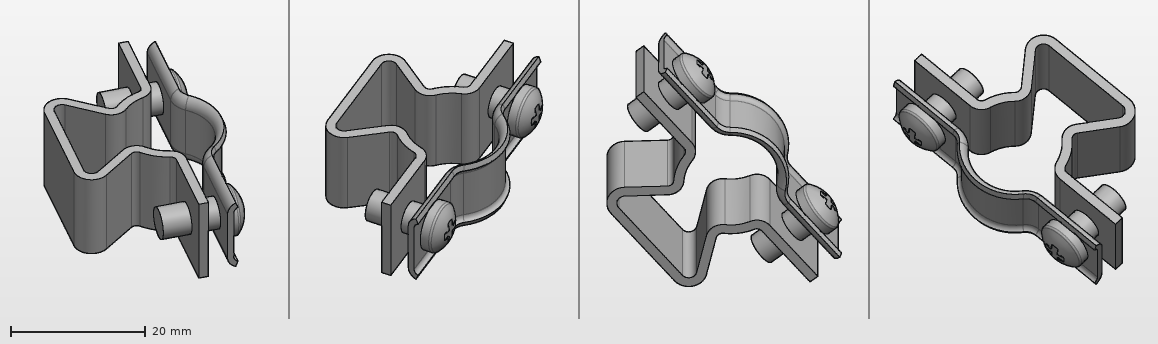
import cadquery as cq
import math


arm_reach = 20.45
pipe_radius = 7.0
pipe_y = 17.0
screw_x = 14.5
shaft_diameter = 5.0

bracket_thickness = 1.5
bracket_width = 14.0
bend_inner = 1.0
bend_outer = bend_inner + bracket_thickness
foot_bend_inner = 1.25
foot_bend_outer = foot_bend_inner + bracket_thickness
foot_bend_x = 7.45
waist_half_gap = 4.0

strap_thickness = 1.0
strap_width = 12.0
strap_front_y = 19.95
strap_right_reach = 20.55
strap_bend_x = 8.45
strap_apex_y = pipe_y + pipe_radius
flange_bend_outer = 2.0
flange_bend_inner = flange_bend_outer - strap_thickness
flange_angle = 69

shaft_end_y = 11.03
head_diameter = 7.95
head_rim_height = 1.6
head_height = 3.3
head_edge_fillet = 0.5
recess_width = 1.27
recess_depth = 0.33


def polar(center, radius, degrees):
    """Point at an angle, counter-clockwise from +X, on a circle."""
    a = math.radians(degrees)
    return (center[0] + radius * math.cos(a), center[1] + radius * math.sin(a))


def bearing(start, end):
    """Direction from one point to another, in degrees."""
    return math.degrees(math.atan2(end[1] - start[1], end[0] - start[0]))


def add_arc(outline, center, radius, start, end):
    """Continue the outline along an arc from one angle to another."""
    return outline.threePointArc(polar(center, radius, (start + end) / 2), polar(center, radius, end))


def make_bracket():
    pipe = (0, pipe_y)
    bend_to_pipe = pipe_radius + bend_outer

    shoulder_drop = bend_outer
    shoulder = (math.sqrt(bend_to_pipe**2 - shoulder_drop**2), pipe_y - shoulder_drop)
    waist_x = waist_half_gap + bend_outer
    waist = (waist_x, pipe_y - math.sqrt(bend_to_pipe**2 - waist_x**2))
    foot = (foot_bend_x, foot_bend_outer)

    to_shoulder = bearing(pipe, shoulder)
    to_waist = bearing(pipe, waist)
    leg_tilt = math.degrees(math.acos((bend_outer + foot_bend_inner) / math.dist(waist, foot)))
    waist_end = bearing(waist, foot) - leg_tilt + 360
    foot_start = waist_end - 180

    outline = cq.Workplane("XY").moveTo(0, 0).lineTo(foot_bend_x, 0)
    outline = add_arc(outline, foot, foot_bend_outer, -90, foot_start)
    outline = outline.lineTo(*polar(waist, bend_inner, waist_end))
    outline = add_arc(outline, waist, bend_inner, waist_end, to_waist + 180)
    outline = add_arc(outline, pipe, pipe_radius + bracket_thickness, to_waist, to_shoulder)
    outline = add_arc(outline, shoulder, bend_inner, to_shoulder + 180, 90)
    outline = outline.lineTo(arm_reach, pipe_y - bracket_thickness)
    outline = outline.lineTo(arm_reach, pipe_y).lineTo(shoulder[0], pipe_y)
    outline = add_arc(outline, shoulder, bend_outer, 90, to_shoulder + 180)
    outline = add_arc(outline, pipe, pipe_radius, to_shoulder, to_waist)
    outline = add_arc(outline, waist, bend_outer, to_waist + 180, waist_end)
    outline = outline.lineTo(*polar(foot, foot_bend_inner, foot_start))
    outline = add_arc(outline, foot, foot_bend_inner, foot_start, -90)
    outline = outline.lineTo(0, bracket_thickness).close()

    half = outline.extrude(bracket_width / 2, both=True)
    return half.union(half.mirror("YZ")) - make_shaft_tools()


def make_strap():
    arch = (0, pipe_y)
    rise = strap_front_y - pipe_y
    bend_radius = (strap_bend_x**2 + rise**2 - pipe_radius**2) / (2 * (pipe_radius - rise))
    left_bend = (-strap_bend_x, strap_front_y + bend_radius)
    right_bend = (strap_bend_x, strap_front_y + bend_radius)
    arch_end = bearing(arch, right_bend)
    path = cq.Workplane("XY").moveTo(-arm_reach, strap_front_y).lineTo(-strap_bend_x, strap_front_y)
    path = add_arc(path, left_bend, bend_radius, -90, -arch_end)
    path = path.threePointArc((0, strap_apex_y), polar(arch, pipe_radius, arch_end))
    path = add_arc(path, right_bend, bend_radius, arch_end - 180, -90)
    path = path.lineTo(strap_right_reach, strap_front_y)

    tip_rise = flange_bend_outer * math.sin(math.radians(flange_angle))
    bend_z = strap_width / 2 - tip_rise
    bend_y = strap_front_y + flange_bend_outer
    upper = (bend_y, bend_z)
    lower = (bend_y, -bend_z)
    web_back_y = strap_front_y + strap_thickness
    section = cq.Workplane("YZ", origin=(-arm_reach, 0, 0)).moveTo(strap_front_y, -bend_z)
    section = section.lineTo(strap_front_y, bend_z)
    section = add_arc(section, upper, flange_bend_outer, 180, 180 - flange_angle)
    section = section.lineTo(*polar(upper, flange_bend_inner, 180 - flange_angle))
    section = add_arc(section, upper, flange_bend_inner, 180 - flange_angle, 180)
    section = section.lineTo(web_back_y, -bend_z)
    section = add_arc(section, lower, flange_bend_inner, 180, 180 + flange_angle)
    section = section.lineTo(*polar(lower, flange_bend_outer, 180 + flange_angle))
    section = add_arc(section, lower, flange_bend_outer, 180 + flange_angle, 180).close()

    return section.sweep(path) - make_shaft_tools()


def make_shaft(x):
    """Screw shaft, from its free end to the seat of the head."""
    length = strap_front_y + strap_thickness - shaft_end_y
    circle = cq.Workplane("XZ", origin=(x, shaft_end_y, 0)).circle(shaft_diameter / 2)
    return circle.extrude(-length)


def make_shaft_tools():
    """Both shafts as one cutter, for the matching holes in the bands."""
    return make_shaft(-screw_x) + make_shaft(screw_x)


def make_screw(x):
    seat_y = strap_front_y + strap_thickness
    top_y = seat_y + head_height
    rim_y = seat_y + head_rim_height
    head_radius = head_diameter / 2
    dome_height = head_height - head_rim_height
    dome_radius = (head_radius**2 + dome_height**2) / (2 * dome_height)
    dome_center = (0, top_y - dome_radius)
    mid_angle = (90 + bearing(dome_center, (head_radius, rim_y))) / 2

    profile = cq.Workplane("XY", origin=(x, 0, 0)).moveTo(0, seat_y).lineTo(head_radius, seat_y)
    profile = profile.lineTo(head_radius, rim_y)
    profile = profile.threePointArc(polar(dome_center, dome_radius, mid_angle), (0, top_y)).close()
    head = profile.revolve(360, (0, 0, 0), (0, 1, 0))
    rim = cq.selectors.BoxSelector(
        (x - head_diameter, rim_y - head_edge_fillet / 2, -head_diameter),
        (x + head_diameter, rim_y + head_edge_fillet / 2, head_diameter),
        boundingbox=True,
    )
    head = head.edges(rim).fillet(head_edge_fillet)

    crown = cq.Workplane("XZ", origin=(x, top_y, 0))
    slot_z = crown.rect(recess_width, head_diameter).extrude(recess_depth)
    slot_x = crown.rect(head_diameter, recess_width).extrude(recess_depth)

    return head.cut(slot_z).cut(slot_x).union(make_shaft(x))


bracket = make_bracket()
strap = make_strap()
screws = [make_screw(x) for x in (-screw_x, screw_x)]

result = cq.Compound.makeCompound([bracket.val(), strap.val(), *[screw.val() for screw in screws]])